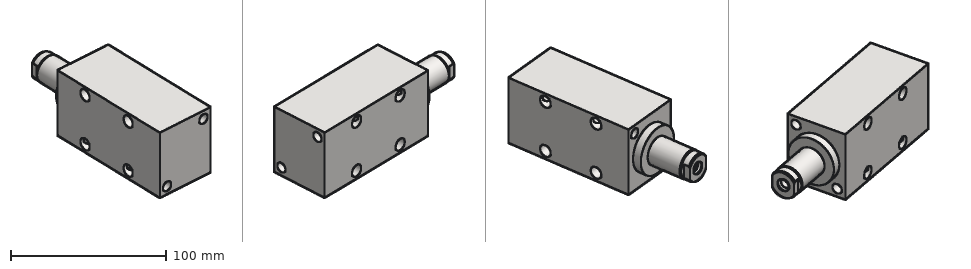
import cadquery as cq
import math

total_length = 137.9
block_width = 44.4
block_height = 50.8
block_start = 39.6
collar_start = 33.2
collar_diameter = 35.0

rod_diameter = 20.5
tip_diameter = 20.0
tip_length = 6.5
shoulder_end = 7.2
tip_chamfer_length = 1.0
tip_chamfer_depth = 0.4

flat_width = 17.0
flat_length = 4.8
flat_run_out = (rod_diameter - flat_width) / 2

socket_diameter = 6.5
socket_mouth_diameter = 8.7
socket_mouth_depth = 0.7
socket_cone_angle = 60.0
socket_cone_length = (
    (socket_mouth_diameter - socket_diameter) / 2 / math.tan(math.radians(socket_cone_angle / 2))
)
socket_depth = 16.5

hole_height = 19.0
cross_hole_diameter = 8.7
cross_hole_positions = (66.2, 107.6)
long_hole_diameter = 7.2
long_hole_offset = 15.9


def make_block():
    """Rectangular housing with the round collar on its front face."""
    block = cq.Workplane("XY").box(
        total_length - block_start, block_width, block_height, centered=(False, True, True)
    ).translate((block_start, 0, 0))
    collar = (
        cq.Workplane("YZ", origin=(collar_start, 0, 0))
        .circle(collar_diameter / 2)
        .extrude(block_start - collar_start)
    )
    return block.union(collar)


def make_rod():
    """Turned rod with a stepped tip and a stepped blind hole, revolved about X."""
    rod_radius = rod_diameter / 2
    tip_radius = tip_diameter / 2
    return (
        cq.Workplane("XY")
        .moveTo(0, socket_mouth_diameter / 2)
        .lineTo(0, tip_radius - tip_chamfer_depth)
        .lineTo(tip_chamfer_length, tip_radius)
        .lineTo(tip_length, tip_radius)
        .lineTo(shoulder_end, rod_radius)
        .lineTo(block_start, rod_radius)
        .lineTo(block_start, 0)
        .lineTo(socket_depth, 0)
        .lineTo(socket_depth, socket_diameter / 2)
        .lineTo(socket_mouth_depth + socket_cone_length, socket_diameter / 2)
        .lineTo(socket_mouth_depth, socket_mouth_diameter / 2)
        .close()
        .revolve(360, (0, 0, 0), (1, 0, 0))
    )


def flat_cutter(side):
    """Wedge-ended cutter for one wrench flat; side is +1 or -1 along Y."""
    flat_y = side * flat_width / 2
    outer_y = side * rod_diameter / 2
    return (
        cq.Workplane("XY")
        .polyline([
            (0, flat_y),
            (flat_length, flat_y),
            (flat_length + flat_run_out, outer_y),
            (0, outer_y),
        ])
        .close()
        .extrude(rod_diameter / 2, both=True)
    )


def cross_holes():
    """Four through holes along Y."""
    centres = [(x, z) for x in cross_hole_positions for z in (-hole_height, hole_height)]
    return (
        cq.Workplane("XZ")
        .pushPoints(centres)
        .circle(cross_hole_diameter / 2)
        .extrude(block_width, both=True)
    )


def long_holes():
    """Two through holes along X in opposite corners of the block."""
    return (
        cq.Workplane("YZ", origin=(block_start, 0, 0))
        .pushPoints([(long_hole_offset, hole_height), (-long_hole_offset, -hole_height)])
        .circle(long_hole_diameter / 2)
        .extrude(total_length - block_start)
    )


rod = make_rod()
for side in (-1, 1):
    rod = rod.cut(flat_cutter(side))

result = make_block().union(rod).cut(cross_holes()).cut(long_holes())